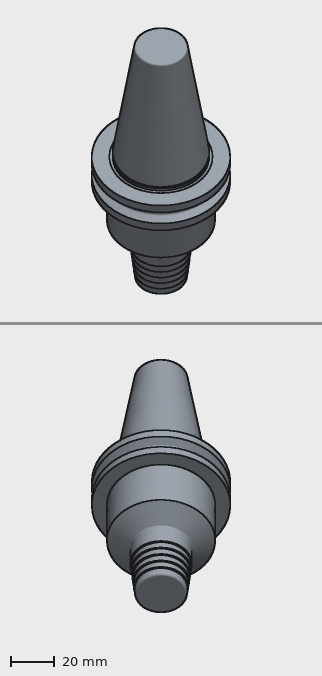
import cadquery as cq
import math

TOTAL_HEIGHT = 148.9
FLANK_ANGLE = math.radians(30)

NOSE_RADIUS = 12.0
NOSE_STEP_COUNT = 5
FIRST_STEP_Z = 4.5
STEP_PITCH = 4.0
NOSE_END_FILLET = 1.2
SHANK_RADIUS = 14.1
STEP_WIDTH = (SHANK_RADIUS - NOSE_RADIUS) / NOSE_STEP_COUNT

BODY_RADIUS = 24.9
BODY_CONE_TOP_Z = 37.0
NECK_FILLET = 1.0

FLANGE_RADIUS = 31.79
FLANGE_BOTTOM_Z = 61.3
FLANGE_TOP_Z = 77.5
FLANGE_RIM_HEIGHT = 4.5
GROOVE_ROOT_RADIUS = 28.1
LOWER_GROOVE_FILLET = 1.0
UPPER_GROOVE_FILLET = 0.52

COLLAR_RADIUS = 22.2
RELIEF_BOTTOM_Z = 78.9
RELIEF_TOP_Z = 79.8
RELIEF_DEPTH = 0.5
RECESS_OUTER_RADIUS = 23.7
RECESS_DEPTH = 0.5

TAPER_BOTTOM_Z = 80.7
TAPER_SLOPE = 7 / 48
TAPER_END_FILLET = 1.0
TAPER_TOP_RADIUS = COLLAR_RADIUS - TAPER_SLOPE * (TOTAL_HEIGHT - TAPER_BOTTOM_Z)


def flank_height(radial_width):
    """Height of a flank that spans the given radial width."""
    return radial_width * math.tan(FLANK_ANGLE)


def root_fillet_points(root_radius, fillet, root_z, direction):
    """Points of the arc joining a wall to a flank: root, middle and flank end.

    direction is +1 when the flank lies above root_z and -1 when it lies below.
    """
    turn = math.pi / 2 - FLANK_ANGLE
    return [
        (
            root_radius + fillet * (1 - math.cos(angle)),
            root_z + direction * fillet * math.sin(angle),
        )
        for angle in (0, turn / 2, turn)
    ]


def root_fillet_z(root_radius, fillet, outer_radius, outer_z, direction):
    """Height where the wall meets the fillet of a flank ending at outer_radius, outer_z."""
    arc_width = fillet * (1 - math.sin(FLANK_ANGLE))
    arc_height = fillet * math.cos(FLANK_ANGLE)
    rise = arc_height + flank_height(outer_radius - root_radius - arc_width)
    return outer_z - direction * rise


def add_nose(profile):
    """Nose of stacked cylinders, each joined to the next by a small bevel."""
    profile = profile.moveTo(0, 0).lineTo(NOSE_RADIUS, 0)
    radius = NOSE_RADIUS
    for step in range(NOSE_STEP_COUNT):
        step_z = FIRST_STEP_Z + step * STEP_PITCH
        next_radius = radius + STEP_WIDTH
        profile = profile.lineTo(radius, step_z - STEP_WIDTH).lineTo(next_radius, step_z)
        radius = next_radius
    return profile


def add_body(profile):
    """Shank, filleted neck, cone and cylindrical body."""
    neck_z = root_fillet_z(SHANK_RADIUS, NECK_FILLET, BODY_RADIUS, BODY_CONE_TOP_Z, 1)
    neck_start, neck_middle, neck_end = root_fillet_points(SHANK_RADIUS, NECK_FILLET, neck_z, 1)
    return (
        profile.lineTo(*neck_start)
        .threePointArc(neck_middle, neck_end)
        .lineTo(BODY_RADIUS, BODY_CONE_TOP_Z)
        .lineTo(BODY_RADIUS, FLANGE_BOTTOM_Z)
    )


def add_flange(profile):
    """Two rims with a filleted V groove between them."""
    lower_rim_z = FLANGE_BOTTOM_Z + FLANGE_RIM_HEIGHT
    upper_rim_z = FLANGE_TOP_Z - FLANGE_RIM_HEIGHT
    lower_root_z = root_fillet_z(
        GROOVE_ROOT_RADIUS, LOWER_GROOVE_FILLET, FLANGE_RADIUS, lower_rim_z, -1
    )
    upper_root_z = root_fillet_z(
        GROOVE_ROOT_RADIUS, UPPER_GROOVE_FILLET, FLANGE_RADIUS, upper_rim_z, 1
    )
    lower = root_fillet_points(GROOVE_ROOT_RADIUS, LOWER_GROOVE_FILLET, lower_root_z, -1)
    upper = root_fillet_points(GROOVE_ROOT_RADIUS, UPPER_GROOVE_FILLET, upper_root_z, 1)
    return (
        profile.lineTo(FLANGE_RADIUS, FLANGE_BOTTOM_Z)
        .lineTo(FLANGE_RADIUS, lower_rim_z)
        .lineTo(*lower[2])
        .threePointArc(lower[1], lower[0])
        .lineTo(*upper[0])
        .threePointArc(upper[1], upper[2])
        .lineTo(FLANGE_RADIUS, upper_rim_z)
        .lineTo(FLANGE_RADIUS, FLANGE_TOP_Z)
    )


def add_collar_and_taper(profile):
    """Ring recess, relieved collar and taper up to the top face."""
    recess_middle = (RECESS_OUTER_RADIUS + COLLAR_RADIUS) / 2
    relief_middle_z = (RELIEF_BOTTOM_Z + RELIEF_TOP_Z) / 2
    return (
        profile.lineTo(RECESS_OUTER_RADIUS, FLANGE_TOP_Z)
        .threePointArc(
            (recess_middle, FLANGE_TOP_Z - RECESS_DEPTH), (COLLAR_RADIUS, FLANGE_TOP_Z)
        )
        .lineTo(COLLAR_RADIUS, RELIEF_BOTTOM_Z)
        .lineTo(COLLAR_RADIUS - RELIEF_DEPTH, relief_middle_z)
        .lineTo(COLLAR_RADIUS, RELIEF_TOP_Z)
        .lineTo(COLLAR_RADIUS, TAPER_BOTTOM_Z)
        .lineTo(TAPER_TOP_RADIUS, TOTAL_HEIGHT)
        .lineTo(0, TOTAL_HEIGHT)
    )


profile = cq.Workplane("XZ")
for add_section in (add_nose, add_body, add_flange, add_collar_and_taper):
    profile = add_section(profile)
holder = profile.close().revolve(360, (0, 0, 0), (0, 1, 0))

holder = holder.faces("<Z").edges().fillet(NOSE_END_FILLET)
holder = holder.faces(">Z").edges().fillet(TAPER_END_FILLET)

result = holder